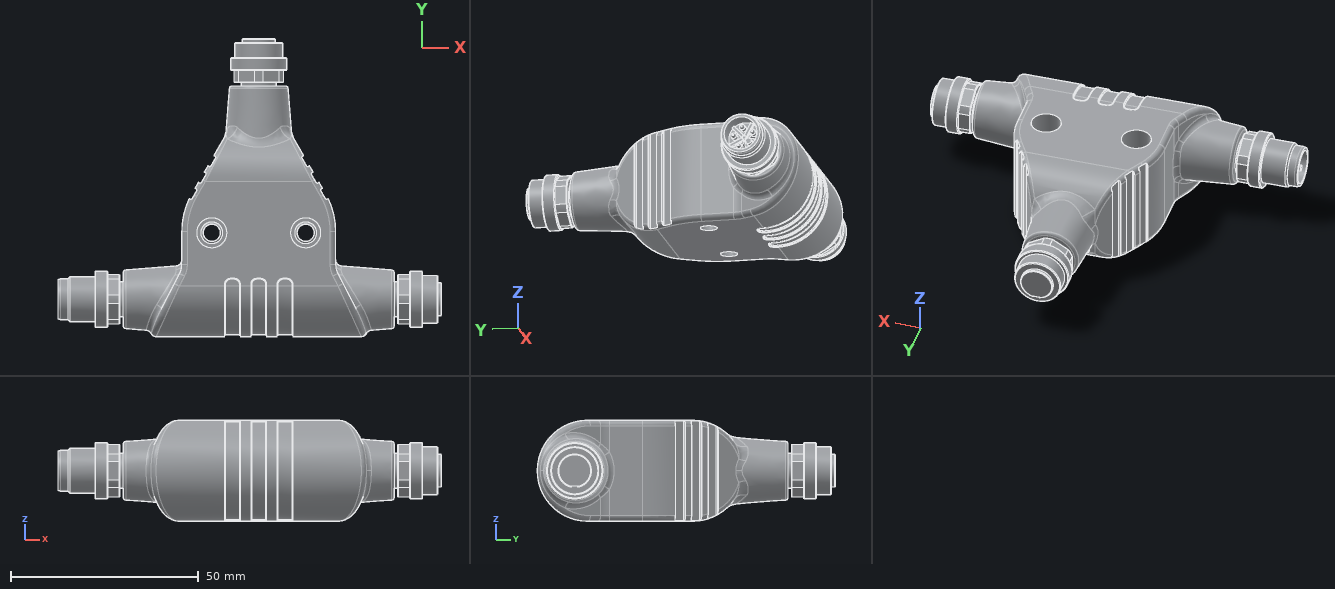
import cadquery as cq
import math

body_height = 26.95
body_radius = body_height / 2
nose_y = -10.0
nose_center_y = nose_y + body_radius
neck_center_y = 31.4

overlap = 1.0
contact_tolerance = 0.01
outline_overrun = 2.0

body_half_width = 20.5
shoulder_angle = 30.0
shoulder_radius = 20.0
shoulder_start_y = 18.1
flare_angle = 27.3
flare_start_y = 8.0
flare_radius = 5.2
body_edge_radius = 1.5

nose_groove_pitch = 7.0
nose_groove_width = 4.2
nose_groove_depth = 0.5
nose_groove_end_y = 5.6
nose_groove_corner = 1.6
shoulder_groove_ys = (28.2, 32.5, 36.9)
shoulder_groove_width = 3.1
shoulder_groove_depth = 0.7
groove_wall_chamfer = 0.25

hole_x = 12.5
hole_y = 17.7
hole_diameter = 4.5
counterbore_diameter = 8.0
counterbore_depth = 8.0
hole_lip_diameter = 5.8
hole_lip_height = 0.65

side_arm_end = 36.1
top_arm_end = 56.82
arm_end_radius = 7.8
arm_taper = 4.5
arm_tip_fillet = 0.8
side_arm_root = 18.0
top_arm_root = 36.0
side_arm_blend_radius = 1.6
top_arm_blend_radius = 4.0

neck_diameter = 9.4
neck_length = 0.85
hex_sides = 6
hex_across_flats = 13.2
hex_corner_diameter = 14.1
hex_length = 3.2
ring_diameter = 15.0
ring_length = 3.5
hex_chamfer = 0.2
ring_chamfer = 0.25

socket_diameter = 12.8
socket_length = 4.01
socket_chamfer = 0.25
insert_diameter = 8.9
insert_length = 1.0
insert_chamfer = 0.2
insert_key_width = 0.8
insert_key_depth = 0.8

plug_diameter = 12.0
plug_length = 7.13
plug_chamfer = 0.5
plug_tip_diameter = 10.95
plug_tip_length = 2.66
plug_tip_chamfer_length = 0.7
plug_tip_chamfer_depth = 0.22
plug_bore_diameter = 8.9
plug_bore_depth = 5.7

pin_circle_radius = 2.75
signal_pin_length = 2.6
earth_pin_angle = 134.0
earth_pin_diameter = 1.6
earth_pin_length = 5.0
signal_pin_count = 4
signal_pin_diameter = 1.5
signal_pin_chamfer = 0.6
pin_pitch_angle = 360 / (signal_pin_count + 1)
collar_diameter = 3.4
collar_height = 1.0
rib_height = 1.0
rib_width = 0.8
rib_count = 3
hub_diameter = 1.1
hub_height = 1.5


def housing():
    """Plan outline and side profile intersected, with the side edges rounded."""
    slope = math.radians(shoulder_angle)
    shoulder_end_x = body_half_width - shoulder_radius * (1 - math.cos(slope))
    shoulder_end_y = shoulder_start_y + shoulder_radius * math.sin(slope)
    shoulder_mid_x = body_half_width - shoulder_radius * (1 - math.cos(slope / 2))
    shoulder_mid_y = shoulder_start_y + shoulder_radius * math.sin(slope / 2)
    back_y = neck_center_y + body_radius + outline_overrun
    back_x = shoulder_end_x - (back_y - shoulder_end_y) * math.tan(slope)
    front_y = nose_y - outline_overrun
    front_x = body_half_width + (flare_start_y - front_y) * math.tan(math.radians(flare_angle))

    half_plan = (
        cq.Workplane("XY", origin=(0, 0, -body_height))
        .moveTo(0, front_y)
        .lineTo(front_x, front_y)
        .lineTo(body_half_width, flare_start_y)
        .lineTo(body_half_width, shoulder_start_y)
        .threePointArc((shoulder_mid_x, shoulder_mid_y), (shoulder_end_x, shoulder_end_y))
        .lineTo(back_x, back_y)
        .lineTo(0, back_y)
        .close()
        .extrude(2 * body_height)
    )
    flare_corner = cq.selectors.NearestToPointSelector((body_half_width, flare_start_y, 0))
    half_plan = half_plan.edges("|Z").edges(flare_corner).fillet(flare_radius)
    plan = half_plan.union(half_plan.mirror("YZ"))
    body = plan.intersect(slab(body_radius, 4 * body_half_width))
    return body.edges("not (|X or |Z)").fillet(body_edge_radius)


def slab(radius, width):
    """Bar along X whose section is a stadium about the nose and neck centers."""
    return (
        cq.Workplane("YZ", origin=(-width / 2, 0, 0))
        .moveTo(nose_center_y, radius)
        .lineTo(neck_center_y, radius)
        .threePointArc((neck_center_y + radius, 0), (neck_center_y, -radius))
        .lineTo(nose_center_y, -radius)
        .threePointArc((nose_center_y - radius, 0), (nose_center_y, radius))
        .close()
        .extrude(width)
    )


def edges_on(shape, *touched_shapes):
    """Edges of `shape` whose middle lies on the surface of every touched shape."""
    surfaces = [touched.val().Shells()[0] for touched in touched_shapes]
    found = []
    for edge in shape.edges().vals():
        middle = cq.Vertex.makeVertex(*edge.positionAt(0.5).toTuple())
        if all(surface.distance(middle) < contact_tolerance for surface in surfaces):
            found.append(edge)
    return shape.newObject(found)


def nose_grooves():
    """Shallow bands that wrap the rounded nose and end with round corners on both flats."""
    core = slab(body_radius - nose_groove_depth, 4 * body_half_width)
    shell = slab(body_radius + outline_overrun, 2 * body_half_width).cut(core)
    front_y = nose_y - 2 * outline_overrun
    bands = cq.Workplane("XY")
    for x in (-nose_groove_pitch, 0, nose_groove_pitch):
        band = (
            cq.Workplane("XY", origin=(x, (nose_groove_end_y + front_y) / 2, 0))
            .box(nose_groove_width, nose_groove_end_y - front_y, 2 * body_height)
            .edges("|Z and >Y")
            .fillet(nose_groove_corner)
        )
        band = band.intersect(shell)
        bands = bands.add(edges_on(band, core).edges("not |X or >Y").chamfer(groove_wall_chamfer))
    return bands.combine()


def shoulder_grooves():
    """Grooves with chamfered walls across both slanted shoulders, running the full height."""
    slope = math.radians(shoulder_angle)
    slant_start_x = body_half_width - shoulder_radius * (1 - math.cos(slope))
    slant_start_y = shoulder_start_y + shoulder_radius * math.sin(slope)
    grooves = cq.Workplane("XY")
    for y in shoulder_groove_ys:
        x = slant_start_x - (y - slant_start_y) * math.tan(slope)
        for side in (-1, 1):
            groove = (
                cq.Workplane("XY")
                .box(2 * shoulder_groove_depth, shoulder_groove_width, 2 * body_height)
                .edges("|Z")
                .chamfer(groove_wall_chamfer)
                .rotate((0, 0, 0), (0, 0, 1), side * shoulder_angle)
                .translate((side * x, y, 0))
            )
            grooves = grooves.add(groove)
    return grooves.combine()


def mounting_holes():
    """Stepped holes: counterbore with a conical lip on its floor round the through hole."""
    top_z = body_height / 2
    floor_z = top_z - counterbore_depth
    half_section = (
        cq.Workplane("XZ")
        .moveTo(0, top_z)
        .lineTo(counterbore_diameter / 2, top_z)
        .lineTo(counterbore_diameter / 2, floor_z)
        .lineTo(hole_lip_diameter / 2, floor_z)
        .lineTo(hole_diameter / 2, floor_z + hole_lip_height)
        .lineTo(hole_diameter / 2, -top_z)
        .lineTo(0, -top_z)
        .close()
    )
    hole = half_section.revolve(360, (0, 0, 0), (0, 1, 0))
    return hole.translate((-hole_x, hole_y, 0)).union(hole.translate((hole_x, hole_y, 0)))


def arm(root, end):
    """Tapered sleeve from height `root` to height `end`."""
    root_radius = arm_end_radius + (end - root) * math.tan(math.radians(arm_taper))
    return (
        cq.Workplane("XY", origin=(0, 0, root))
        .circle(root_radius)
        .workplane(offset=end - root)
        .circle(arm_end_radius)
        .loft()
        .faces(">Z")
        .edges()
        .fillet(arm_tip_fillet)
    )


def rod(bottom, length, diameter):
    """Cylinder on the Z axis that starts at height `bottom`."""
    return cq.Workplane("XY", origin=(0, 0, bottom)).circle(diameter / 2).extrude(length)


def coupling(arm_end):
    """Neck, hexagon with rounded corners and plain ring shared by every connector."""
    hex_bottom = arm_end + neck_length
    neck = rod(arm_end - overlap, neck_length + 2 * overlap, neck_diameter)
    hexagon = (
        cq.Workplane("XY", origin=(0, 0, hex_bottom))
        .polygon(hex_sides, hex_across_flats, circumscribed=True)
        .extrude(hex_length)
        .intersect(rod(hex_bottom, hex_length, hex_corner_diameter))
        .faces("<Z")
        .edges()
        .chamfer(hex_chamfer)
    )
    ring = rod(hex_bottom + hex_length, ring_length, ring_diameter)
    ring = ring.faces("<Z or >Z").edges().chamfer(ring_chamfer)
    return neck.union(hexagon).union(ring)


def coupling_end(arm_end):
    """Height at which the coupling ring ends."""
    return arm_end + neck_length + hex_length + ring_length


def socket(arm_end):
    """Female connector: sleeve with a protruding, keyed insert."""
    bottom = coupling_end(arm_end)
    top = bottom + socket_length
    sleeve = rod(bottom, socket_length, socket_diameter)
    sleeve = sleeve.faces(">Z").edges().chamfer(socket_chamfer)
    insert = rod(top - overlap, insert_length + overlap, insert_diameter)
    insert = insert.faces(">Z").edges().chamfer(insert_chamfer)
    key_slot = cq.Workplane("XY").box(
        2 * insert_key_depth, insert_key_width, 2 * insert_length
    ).translate((0, insert_diameter / 2, top + insert_length))
    return coupling(arm_end).union(sleeve).union(insert.cut(key_slot))


def plug(arm_end):
    """Male connector: stepped sleeve with a bore that holds the contact pins."""
    bottom = coupling_end(arm_end)
    step = bottom + plug_length
    top = step + plug_tip_length
    floor = top - plug_bore_depth
    sleeve = rod(bottom, plug_length, plug_diameter)
    sleeve = sleeve.faces(">Z").edges().chamfer(plug_chamfer)
    tip = rod(step - overlap, plug_tip_length - plug_tip_chamfer_length + overlap, plug_tip_diameter)
    mouth = (
        cq.Workplane("XY", origin=(0, 0, top - plug_tip_chamfer_length))
        .circle(plug_tip_diameter / 2)
        .workplane(offset=plug_tip_chamfer_length)
        .circle(plug_tip_diameter / 2 - plug_tip_chamfer_depth)
        .loft()
    )
    body = coupling(arm_end).union(sleeve).union(tip).union(mouth)
    body = body.cut(rod(floor, plug_bore_depth, plug_bore_diameter))
    return body.union(contacts(floor))


def contacts(floor):
    """Pins, earth collar, hub and ribs standing on the bore floor."""
    sunk_floor = floor - overlap
    pin_height = signal_pin_length + overlap
    base_height = rib_height + overlap
    signal_pin = rod(sunk_floor, pin_height, signal_pin_diameter)
    signal_pin = signal_pin.faces(">Z").edges().chamfer(signal_pin_chamfer)
    signal_pin = signal_pin.translate((pin_circle_radius, 0, 0))
    earth_pin = rod(sunk_floor, earth_pin_length + overlap, earth_pin_diameter)
    collar = rod(sunk_floor, collar_height + overlap, collar_diameter)
    earth_contact = earth_pin.union(collar).translate((pin_circle_radius, 0, 0))
    rib_length = plug_bore_diameter / 2
    rib = cq.Workplane("XY").box(rib_length, rib_width, base_height)
    rib = rib.translate((rib_length / 2, 0, sunk_floor + base_height / 2))

    group = rod(sunk_floor, hub_height + overlap, hub_diameter)
    group = group.union(spun(earth_contact, earth_pin_angle))
    for i in range(1, signal_pin_count + 1):
        group = group.union(spun(signal_pin, earth_pin_angle + i * pin_pitch_angle))
    for i in range(1, rib_count + 1):
        group = group.union(spun(rib, earth_pin_angle + (i + 0.5) * pin_pitch_angle))
    return group.intersect(rod(sunk_floor, plug_bore_depth, plug_bore_diameter))


def spun(shape, angle):
    """Shape turned about the Z axis by an angle in degrees."""
    return shape.rotate((0, 0, 0), (0, 0, 1), angle)


def toward_back(shape):
    """Turn a shape built along +Z so that it points along +Y."""
    return shape.rotate((0, 0, 0), (1, 0, 0), -90)


def toward_right(shape):
    """Turn a shape built along +Z so that it points along +X."""
    return toward_back(shape).rotate((0, 0, 0), (0, 0, 1), -90)


def toward_left(shape):
    """Turn a shape built along +Z so that it points along -X."""
    return toward_back(shape).rotate((0, 0, 0), (0, 0, 1), 90)


def blend_arm(body, turned_arm, radius):
    """Join an arm to the housing and round the inside corner where the two meet."""
    joined = body.union(turned_arm)
    return edges_on(joined, body, turned_arm).fillet(radius)


side_arm = arm(side_arm_root, side_arm_end)
top_arm = arm(top_arm_root, top_arm_end)

result = housing()
result = blend_arm(result, toward_left(side_arm), side_arm_blend_radius)
result = blend_arm(result, toward_right(side_arm), side_arm_blend_radius)
result = blend_arm(result, toward_back(top_arm), top_arm_blend_radius)
result = result.cut(nose_grooves()).cut(shoulder_grooves()).cut(mounting_holes())
result = result.union(toward_left(plug(side_arm_end)))
result = result.union(toward_right(socket(side_arm_end)))
result = result.union(toward_back(socket(top_arm_end)))